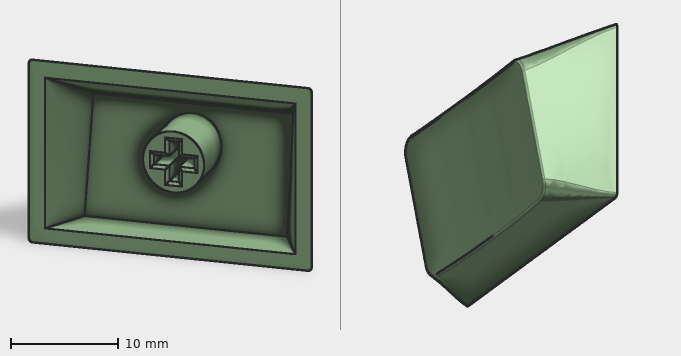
import cadquery as cq
import math

rim_width = 27.8
rim_height = 18.0
rim_corner_radius = 0.42
touch_width = 21.7
touch_top_z = 4.78
touch_top_depth = 8.75
touch_bottom_depth = 5.92
touch_corner_radius = 1.6
shell_sections = 5

dish_sag = 0.45
edge_radius = 0.25

cavity_rim_width = 24.58
cavity_top_z = 7.35
cavity_bottom_z = -7.48
floor_top_width = 19.63
floor_bottom_width = 19.88
floor_top_z = 3.87
floor_top_depth = 6.95
floor_bottom_depth = 4.67

stem_diameter = 6.0
stem_front_depth = 1.0
cross_length = 3.95
cross_arm_width = 0.95
cross_chamfer = 0.35
cross_chamfer_depth = 0.2

half_height = rim_height / 2
stem_length = floor_top_depth


def blend(start, end, fraction):
    return start + (end - start) * fraction


def leaning_plane(bottom, top):
    """Plane through two (depth, z) points, local x along X and local y up the lean."""
    depth_rise = top[0] - bottom[0]
    z_rise = top[1] - bottom[1]
    middle = (0, (bottom[0] + top[0]) / 2, (bottom[1] + top[1]) / 2)
    plane = cq.Plane(origin=middle, xDir=(1, 0, 0), normal=(0, -z_rise, depth_rise))
    return plane, math.hypot(depth_rise, z_rise)


def shell_section(fraction):
    """Rounded rectangle; its corners grow slowly at both ends and fastest halfway."""
    bottom = (touch_bottom_depth * fraction, -half_height)
    top = (touch_top_depth * fraction, blend(half_height, touch_top_z, fraction))
    plane, height = leaning_plane(bottom, top)
    growth = fraction**2 * (3 - 2 * fraction)
    radius = blend(rim_corner_radius, touch_corner_radius, growth)
    sketch = cq.Sketch().rect(blend(rim_width, touch_width, fraction), height).vertices().fillet(radius)
    return sketch.moved(cq.Location(plane))


def make_shell():
    sections = [shell_section(index / (shell_sections - 1)) for index in range(shell_sections)]
    return cq.Workplane().placeSketch(*sections).loft()


def make_dish():
    """Cylinder that hollows the touch face from side to side, parallel to its lean."""
    half_width = touch_width / 2
    radius = (half_width**2 + dish_sag**2) / (2 * dish_sag)
    plane, height = leaning_plane((touch_bottom_depth, -half_height), (touch_top_depth, touch_top_z))
    axis_plane = cq.Plane(
        origin=plane.toWorldCoords((0, -height, dish_sag - radius)).toTuple(),
        xDir=(1, 0, 0),
        normal=plane.yDir.toTuple(),
    )
    return cq.Workplane(axis_plane).circle(radius).extrude(2 * height)


def make_cavity():
    rim_plane, rim_side = leaning_plane((0, cavity_bottom_z), (0, cavity_top_z))
    floor_plane, floor_side = leaning_plane(
        (floor_bottom_depth, cavity_bottom_z), (floor_top_depth, floor_top_z)
    )
    rim = cq.Workplane(rim_plane).rect(cavity_rim_width, rim_side).val()
    floor_corners = [
        (-floor_bottom_width / 2, -floor_side / 2),
        (floor_bottom_width / 2, -floor_side / 2),
        (floor_top_width / 2, floor_side / 2),
        (-floor_top_width / 2, floor_side / 2),
    ]
    floor = cq.Workplane(floor_plane).polyline(floor_corners).close().val()
    return cq.Workplane(cq.Solid.makeLoft([rim, floor], True))


def stem_plane(depth):
    return cq.Plane(origin=(0, depth, 0), xDir=(1, 0, 0), normal=(0, -1, 0))


def cross_wire(depth, growth):
    """Cross outline at a depth, widened by growth on every side."""
    tip = cross_length / 2 + growth
    arm = cross_arm_width / 2 + growth
    quarter = [(tip, -arm), (tip, arm), (arm, arm)]
    points = []
    for _ in range(4):
        points += quarter
        quarter = [(-y, x) for x, y in quarter]
    return cq.Workplane(stem_plane(depth)).polyline(points).close().val()


def make_socket():
    mouth = cross_wire(stem_front_depth, cross_chamfer)
    throat = cross_wire(stem_front_depth + cross_chamfer_depth, 0)
    lead_in = cq.Workplane(cq.Solid.makeLoft([mouth, throat], True))
    slot = cq.Workplane(stem_plane(stem_front_depth)).add(cross_wire(stem_front_depth, 0)).toPending()
    return lead_in.union(slot.extrude(-stem_length))


shell = make_shell().cut(make_dish())
shell = shell.faces("%CYLINDER").edges().fillet(edge_radius)
stem = cq.Workplane(stem_plane(stem_front_depth)).circle(stem_diameter / 2).extrude(-stem_length)
hollow = make_cavity().cut(stem.cut(make_socket()))
result = shell.cut(hollow)